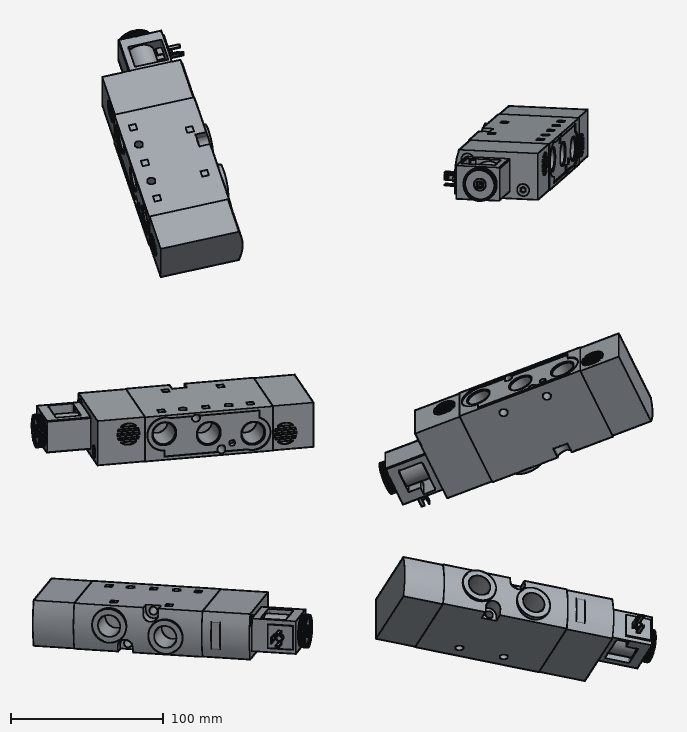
import cadquery as cq
import math


OVERALL_DEPTH = 59.8
HEIGHT = 31.0
BODY_LENGTH = 86.0
BODY_MID_X = 109.2
BODY_START_X = BODY_MID_X - BODY_LENGTH / 2
BODY_END_X = BODY_MID_X + BODY_LENGTH / 2
OVERALL_END_X = 179.6
BODY_FRONT_Y = -OVERALL_DEPTH / 2
BODY_EDGE_Y = 24.3
BODY_CROWN_Y = 26.4
CAP_START_X = 34.3
CAP_FRONT_Y = -29.5
CAP_EDGE_Y = 23.5
CAP_CROWN_Y = 26.2

PORT_DIAMETER = 15.0
PORT_CHAMFER = 0.7
PORT_DEPTH = 21.5
FRONT_PORT_SPAN = 59.8
FRONT_PORT_PITCH = FRONT_PORT_SPAN / 2
BACK_PORT_SPACING = 37.7
PORT_OFFSET_Z = 2.5
BOSS_DIAMETER = 23.0
BOSS_END_Y = 27.5
BOSS_ROOT_Y = 19.8

RECESS_DEPTH = 0.9
RECESS_LOBE_RADIUS = 11.5
RECESS_HALF_HEIGHT = 13.3
RECESS_END_X = BODY_MID_X + 34.0

MOUNT_DIAMETER = 5.4
MOUNT_SPACING = 17.0
MOUNT_OFFSET_Z = 11.7
COUNTERBORE_DIAMETER = 10.0
COUNTERBORE_FLOOR_Y = 17.0
CROSS_HOLE_OFFSET_X = 15.5
FRONT_ROW_Y = -20.8
BACK_ROW_Y = 14.5
PILOT_DIAMETER = 4.0
PILOT_DEPTH = 5.4
PILOT_X = BODY_MID_X + 15.8
PILOT_Z = -8.0
LABEL_SIZE = 4.5
LABEL_DEPTH = 0.2
BACK_LABEL_SPACING = 37.0

VENT_DIAMETER = 15.0
VENT_DEPTH = 0.9
VENT_RIB = 1.53
VENT_PITCH = 3.0
VENT_RIB_COUNT = 4
VENT_OFFSET_Z = 4.5
LEFT_VENT_X = 55.2
RIGHT_VENT_X = 160.8
GROOVE_START_X = 54.0
GROOVE_WIDTH = 6.0
GROOVE_FLOOR_Y = 25.3

SCREW_DIAMETER = 8.0
SCREW_LENGTH = 10.8
SCREW_MID_Y = -0.8
SCREW_OFFSET_Y = 18.7
SCREW_OFFSET_Z = 9.3
SOCKET_CORE_DIAMETER = 3.0
SOCKET_LOBE_CIRCLE = 3.0
SOCKET_LOBE_DIAMETER = 0.9
SOCKET_LOBES = 6
SOCKET_DEPTH = 0.7

HOUSING_START_X = 4.9
HOUSING_FRONT_Y = -10.6
HOUSING_BACK_Y = 18.7
HOUSING_HEIGHT = 22.3
HOUSING_CHAMFER = 0.5
SOLENOID_SETBACK = 31.8
SOLENOID_Y = BODY_FRONT_Y + SOLENOID_SETBACK
WINDOW_START_X = 12.0
WINDOW_END_X = 29.0
WINDOW_FRONT_Y = -5.7
WINDOW_BACK_Y = 16.9
WINDOW_CORNER = 0.7
WINDING_DIAMETER = 20.0
BLOCK_END_X = 20.5
BLOCK_FRONT_Y = 11.5
BLOCK_TOP_Z = 1.5
BLOCK_STEP_X = 17.0
BLOCK_STEP_Y = 13.0
BLOCK_STEP_TOP_Z = 2.5
POCKET_DEPTH = 4.0
POCKET_FRONT_Y = 11.1
POCKET_BACK_Y = 15.3
POCKET_BOTTOM_Z = 5.7
POCKET_TOP_Z = 10.0
COLLAR_DIAMETER = 21.0
COLLAR_THICKNESS = 0.5

TUBE_DIAMETER = 10.0
TUBE_TIP_DIAMETER = 7.9
TUBE_START_X = 0.5
TUBE_BORES = [(4.9, 0.4), (3.8, 2.7), (0.9, 3.6)]
NUT_DIAMETER = 21.7
NUT_THICKNESS = 3.8
NUT_FACE_DIAMETER = 19.8
NUT_FACE_DEPTH = 1.5
KNURL_COUNT = 36
KNURL_WIDTH = 0.7
KNURL_DEPTH = 0.45

PLATE_START_X = 6.5
PLATE_LENGTH = 16.9
PLATE_WIDTH = 16.2
PLATE_THICKNESS = 1.3
PLATE_TOP_Y = HOUSING_BACK_Y + PLATE_THICKNESS
PILLAR_X = 15.1
PILLAR_BASE_DIAMETER = 4.9
PILLAR_TOP_DIAMETER = 3.8
PILLAR_STEP_HEIGHT = 1.5
CONTACT_WIDTH = 2.3
CONTACT_THICKNESS = 1.0
CONTACT_END_Y = 28.5
CONTACT_TIP_CHAMFER = 0.45
CONTACT_SPACING = 8.0
EARTH_X = 18.9
EARTH_THICKNESS = 0.7
EARTH_WIDTH = 3.5
EARTH_END_Y = OVERALL_DEPTH / 2
EARTH_TIP_CHAMFER = 0.27
EARTH_HOLE_DIAMETER = 1.75
EARTH_HOLE_Y = 27.8


def box(x0, x1, y0, y1, z0, z1):
    """Block between two opposite corners."""
    return cq.Workplane("XY").box(x1 - x0, y1 - y0, z1 - z0, centered=False).translate((x0, y0, z0))


def rod_x(diameter, x0, x1, y=0.0, z=0.0):
    """Cylinder along X from x0 to x1."""
    return cq.Workplane("YZ", origin=(x0, y, z)).circle(diameter / 2).extrude(x1 - x0)


def rod_y(diameter, y0, y1, x, z=0.0):
    """Cylinder along Y from y0 to y1."""
    return cq.Workplane("XZ", origin=(x, y0, z)).circle(diameter / 2).extrude(y0 - y1)


def crowned_block(x0, x1, front_y, edge_y, crown_y):
    """Block whose back face is a shallow arc about X."""
    half = HEIGHT / 2
    return (
        cq.Workplane("YZ", origin=(x0, 0, 0))
        .moveTo(front_y, -half)
        .lineTo(edge_y, -half)
        .threePointArc((crown_y, 0), (edge_y, half))
        .lineTo(front_y, half)
        .close()
        .extrude(x1 - x0)
    )


def gasket_recess():
    """Shallow front recess: a band between two straight edges with a round lobe at each end port."""
    left_x = BODY_MID_X - FRONT_PORT_PITCH
    right_x = BODY_MID_X + FRONT_PORT_PITCH
    floor_y = BODY_FRONT_Y + RECESS_DEPTH
    lobe_diameter = 2 * RECESS_LOBE_RADIUS
    band = box(left_x, RECESS_END_X, BODY_FRONT_Y, floor_y, -RECESS_HALF_HEIGHT, RECESS_HALF_HEIGHT)
    left_lobe = rod_y(lobe_diameter, BODY_FRONT_Y, floor_y, left_x, PORT_OFFSET_Z)
    right_lobe = rod_y(lobe_diameter, BODY_FRONT_Y, floor_y, right_x, -PORT_OFFSET_Z)
    return band.union(left_lobe).union(right_lobe)


def front_port(x, z):
    """Blind port with a chamfered mouth, entered from the recess floor."""
    mouth_y = BODY_FRONT_Y + RECESS_DEPTH
    mouth = (
        cq.Workplane("XZ", origin=(x, mouth_y, z))
        .circle(PORT_DIAMETER / 2 + PORT_CHAMFER)
        .workplane(offset=-PORT_CHAMFER)
        .circle(PORT_DIAMETER / 2)
        .loft()
    )
    return rod_y(PORT_DIAMETER, mouth_y, mouth_y + PORT_DEPTH, x, z).union(mouth)


def mounting_hole(x, z):
    """Through hole along Y with a U-shaped counterbore open to the nearer of the top and bottom."""
    outer_z = math.copysign(HEIGHT / 2, z)
    radius = COUNTERBORE_DIAMETER / 2
    hole = rod_y(MOUNT_DIAMETER, BODY_FRONT_Y, BODY_CROWN_Y, x, z)
    seat = rod_y(COUNTERBORE_DIAMETER, COUNTERBORE_FLOOR_Y, BODY_CROWN_Y, x, z)
    opening = box(
        x - radius, x + radius, COUNTERBORE_FLOOR_Y, BODY_CROWN_Y, min(z, outer_z), max(z, outer_z)
    )
    return hole.union(seat).union(opening)


def make_body():
    body = crowned_block(BODY_START_X, BODY_END_X, BODY_FRONT_Y, BODY_EDGE_Y, BODY_CROWN_Y)

    for side in (-1, 1):
        x = BODY_MID_X + side * BACK_PORT_SPACING / 2
        z = side * PORT_OFFSET_Z
        body = body.union(rod_y(BOSS_DIAMETER, BOSS_ROOT_Y, BOSS_END_Y, x, z))
        body = body.cut(rod_y(PORT_DIAMETER, BOSS_END_Y - PORT_DEPTH, BOSS_END_Y, x, z))

    body = body.cut(gasket_recess())
    for step in (-1, 0, 1):
        body = body.cut(front_port(BODY_MID_X + step * FRONT_PORT_PITCH, -step * PORT_OFFSET_Z))
    for side in (-1, 1):
        body = body.cut(mounting_hole(BODY_MID_X + side * MOUNT_SPACING / 2, -side * MOUNT_OFFSET_Z))
    body = body.cut(rod_y(PILOT_DIAMETER, BODY_FRONT_Y, BODY_FRONT_Y + PILOT_DEPTH, PILOT_X, PILOT_Z))

    top = cq.Workplane("XY", origin=(BODY_MID_X, 0, HEIGHT / 2))
    cross_holes = [(-CROSS_HOLE_OFFSET_X, FRONT_ROW_Y), (CROSS_HOLE_OFFSET_X, FRONT_ROW_Y)]
    body = body.cut(top.pushPoints(cross_holes).circle(MOUNT_DIAMETER / 2).extrude(-HEIGHT))

    label_spots = [(step * FRONT_PORT_PITCH, FRONT_ROW_Y) for step in (-1, 0, 1)]
    label_spots += [(side * BACK_LABEL_SPACING / 2, BACK_ROW_Y) for side in (-1, 1)]
    return body.cut(top.pushPoints(label_spots).rect(LABEL_SIZE, LABEL_SIZE).extrude(-LABEL_DEPTH))


def vent(x, z):
    """Round grille recess crossed by ribs that stay flush with the front face."""
    floor_y = CAP_FRONT_Y + VENT_DEPTH
    radius = VENT_DIAMETER / 2
    recess = rod_y(VENT_DIAMETER, CAP_FRONT_Y, floor_y, x, z)
    for index in range(VENT_RIB_COUNT):
        rib_z = z + (index - (VENT_RIB_COUNT - 1) / 2) * VENT_PITCH
        recess = recess.cut(
            box(x - radius, x + radius, CAP_FRONT_Y, floor_y, rib_z - VENT_RIB / 2, rib_z + VENT_RIB / 2)
        )
    return recess


def screw_places():
    """Y and Z of the two diagonally opposite cap screws."""
    return [(SCREW_MID_Y + side * SCREW_OFFSET_Y, side * SCREW_OFFSET_Z) for side in (-1, 1)]


def make_left_cap():
    cap = crowned_block(CAP_START_X, BODY_START_X, CAP_FRONT_Y, CAP_EDGE_Y, CAP_CROWN_Y)
    cap = cap.cut(vent(LEFT_VENT_X, VENT_OFFSET_Z))
    groove_end_x = GROOVE_START_X + GROOVE_WIDTH
    cap = cap.cut(
        box(GROOVE_START_X, groove_end_x, GROOVE_FLOOR_Y, CAP_CROWN_Y, -HEIGHT / 2, HEIGHT / 2)
    )
    for y, z in screw_places():
        cap = cap.cut(rod_x(SCREW_DIAMETER, CAP_START_X, CAP_START_X + SCREW_LENGTH, y, z))
    return cap


def make_right_cap():
    cap = crowned_block(BODY_END_X, OVERALL_END_X, CAP_FRONT_Y, CAP_EDGE_Y, CAP_CROWN_Y)
    return cap.cut(vent(RIGHT_VENT_X, -VENT_OFFSET_Z))


def make_screw(y, z):
    """Flush cap screw with a six-lobed socket."""
    socket_end_x = CAP_START_X + SOCKET_DEPTH
    screw = rod_x(SCREW_DIAMETER, CAP_START_X, CAP_START_X + SCREW_LENGTH, y, z)
    screw = screw.cut(rod_x(SOCKET_CORE_DIAMETER, CAP_START_X, socket_end_x, y, z))
    for index in range(SOCKET_LOBES):
        angle = math.pi / 2 + index * 2 * math.pi / SOCKET_LOBES
        lobe_y = y + SOCKET_LOBE_CIRCLE / 2 * math.cos(angle)
        lobe_z = z + SOCKET_LOBE_CIRCLE / 2 * math.sin(angle)
        screw = screw.cut(rod_x(SOCKET_LOBE_DIAMETER, CAP_START_X, socket_end_x, lobe_y, lobe_z))
    return screw


def make_housing():
    """Solenoid housing: a box with a window around the winding and a collar behind the nut."""
    half = HOUSING_HEIGHT / 2
    housing = box(HOUSING_START_X, CAP_START_X, HOUSING_FRONT_Y, HOUSING_BACK_Y, -half, half)
    housing = housing.faces("<Y").edges("|X").chamfer(HOUSING_CHAMFER)

    window = box(WINDOW_START_X, WINDOW_END_X, WINDOW_FRONT_Y, WINDOW_BACK_Y, -half, half)
    housing = housing.cut(window.edges("|Z").fillet(WINDOW_CORNER))
    housing = housing.union(rod_x(WINDING_DIAMETER, WINDOW_START_X, WINDOW_END_X, SOLENOID_Y))

    block = box(WINDOW_START_X, BLOCK_END_X, BLOCK_FRONT_Y, WINDOW_BACK_Y, -half, BLOCK_TOP_Z)
    step = box(
        WINDOW_START_X, BLOCK_STEP_X, BLOCK_STEP_Y, WINDOW_BACK_Y, BLOCK_TOP_Z, BLOCK_STEP_TOP_Z
    )
    housing = housing.union(block).union(step)

    pocket_end_x = WINDOW_END_X + POCKET_DEPTH
    housing = housing.cut(
        box(WINDOW_END_X, pocket_end_x, POCKET_FRONT_Y, POCKET_BACK_Y, POCKET_BOTTOM_Z, POCKET_TOP_Z)
    )

    collar_x = HOUSING_START_X - COLLAR_THICKNESS
    housing = housing.union(rod_x(COLLAR_DIAMETER, collar_x, HOUSING_START_X, SOLENOID_Y))
    return housing.cut(rod_x(TUBE_DIAMETER, collar_x, CAP_START_X, SOLENOID_Y))


def make_tube():
    """Armature tube through the housing, with a narrower hollow tip inside the nut."""
    tube = rod_x(TUBE_DIAMETER, NUT_THICKNESS, CAP_START_X, SOLENOID_Y)
    tube = tube.union(rod_x(TUBE_TIP_DIAMETER, TUBE_START_X, NUT_THICKNESS, SOLENOID_Y))
    for diameter, depth in TUBE_BORES:
        tube = tube.cut(rod_x(diameter, TUBE_START_X, TUBE_START_X + depth, SOLENOID_Y))
    return tube


def make_nut():
    """Knurled round nut with a recessed face."""
    nut = rod_x(NUT_DIAMETER, 0, NUT_THICKNESS, SOLENOID_Y)
    nut = nut.cut(rod_x(NUT_FACE_DIAMETER, 0, NUT_FACE_DEPTH, SOLENOID_Y))
    nut = nut.cut(rod_x(TUBE_TIP_DIAMETER, NUT_FACE_DEPTH, NUT_THICKNESS, SOLENOID_Y))
    grooves = (
        cq.Workplane("YZ", origin=(0, SOLENOID_Y, 0))
        .polarArray(NUT_DIAMETER / 2, 0, 360, KNURL_COUNT)
        .rect(2 * KNURL_DEPTH, KNURL_WIDTH)
        .extrude(NUT_THICKNESS)
    )
    return nut.cut(grooves)


def make_terminal_block():
    """Plate on the back of the housing with a stepped pillar, two contacts and an earth blade."""
    block = box(
        PLATE_START_X, PLATE_START_X + PLATE_LENGTH, HOUSING_BACK_Y, PLATE_TOP_Y,
        -PLATE_WIDTH / 2, PLATE_WIDTH / 2,
    )
    pillar_step_y = PLATE_TOP_Y + PILLAR_STEP_HEIGHT
    block = block.union(rod_y(PILLAR_BASE_DIAMETER, PLATE_TOP_Y, pillar_step_y, PILLAR_X))
    block = block.union(
        rod_y(PILLAR_TOP_DIAMETER, pillar_step_y, pillar_step_y + PILLAR_STEP_HEIGHT, PILLAR_X)
    )

    contact = box(
        PILLAR_X - CONTACT_WIDTH / 2, PILLAR_X + CONTACT_WIDTH / 2, PLATE_TOP_Y, CONTACT_END_Y,
        -CONTACT_THICKNESS / 2, CONTACT_THICKNESS / 2,
    )
    contact = contact.faces(">Y").edges("|X").chamfer(CONTACT_TIP_CHAMFER)
    for side in (-1, 1):
        block = block.union(contact.translate((0, 0, side * CONTACT_SPACING / 2)))

    earth_start_x = EARTH_X - EARTH_THICKNESS / 2
    earth_end_x = EARTH_X + EARTH_THICKNESS / 2
    blade = box(earth_start_x, earth_end_x, PLATE_TOP_Y, EARTH_END_Y, -EARTH_WIDTH / 2, EARTH_WIDTH / 2)
    blade = blade.faces(">Y").edges("|Z").chamfer(2 * EARTH_TIP_CHAMFER, EARTH_TIP_CHAMFER)
    blade = blade.cut(rod_x(EARTH_HOLE_DIAMETER, earth_start_x, earth_end_x, EARTH_HOLE_Y))
    return block.union(blade)


valve_body = make_body()
left_cap = make_left_cap()
right_cap = make_right_cap()
screws = [make_screw(y, z) for y, z in screw_places()]
solenoid_housing = make_housing()
armature_tube = make_tube()
nut = make_nut()
terminal_block = make_terminal_block()

result = cq.Compound.makeCompound([
    valve_body.val(),
    left_cap.val(),
    right_cap.val(),
    *[screw.val() for screw in screws],
    solenoid_housing.val(),
    armature_tube.val(),
    nut.val(),
    terminal_block.val(),
])